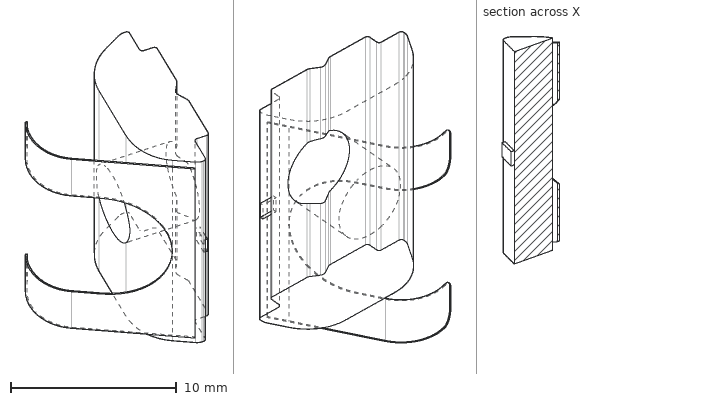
import cadquery as cq
import math

length = 16.0
width = 11.6
body_depth = 4.62
neck_width = 7.92
shoulder_depth = 1.0
nose_flat_width = 4.0
flank_angle = math.radians(60)
flank_start_x = 5.0
corner_radius = 0.2
side_blend_radius = 0.75
hole_diameter = 5.0

groove_half_width = 0.85
groove_depth = groove_half_width * math.tan(math.radians(30))
groove_blend_radius = 0.4

total_depth = 9.8
leaf_thickness = 0.1
leaf_height = 14.98
leaf_root_x = 5.68
bend_start_x = 1.94
tip_angle = math.radians(33)
tip_radius = 0.85
slot_width = 8.48

pad_size = 1.07
pad_height = 0.22
pad_x = 4.9

half_width = width / 2
half_neck = neck_width / 2
half_flat = nose_flat_width / 2
flank_slope = math.tan(flank_angle)
nose_radius = (flank_start_x - half_flat) / math.sin(flank_angle)
flank_start_y = -body_depth + nose_radius * (1 - math.cos(flank_angle))


def flank_y(x):
    """Height in Y of the +X flank plane at a given X."""
    return flank_start_y + (x - flank_start_x) * flank_slope


def round_vertical_edges(solid, points, radius):
    """Fillet the edges parallel to Z that pass through the given XY points."""
    for x, y in points:
        edge = solid.edges(cq.selectors.NearestToPointSelector((x, y, 0)))
        solid = solid.newObject(edge.vals()).fillet(radius)
    return solid


def make_body():
    half_angle = flank_angle / 2
    arc_x = half_flat + nose_radius * math.sin(half_angle)
    arc_y = -body_depth + nose_radius * (1 - math.cos(half_angle))
    side_y = flank_y(half_width)
    body = (
        cq.Workplane("XY")
        .moveTo(-half_flat, -body_depth)
        .lineTo(half_flat, -body_depth)
        .threePointArc((arc_x, arc_y), (flank_start_x, flank_start_y))
        .lineTo(half_width, side_y)
        .lineTo(half_width, -shoulder_depth)
        .lineTo(half_neck, -shoulder_depth)
        .lineTo(half_neck, 0)
        .lineTo(groove_half_width, 0)
        .lineTo(0, -groove_depth)
        .lineTo(-groove_half_width, 0)
        .lineTo(-half_neck, 0)
        .lineTo(-half_neck, -shoulder_depth)
        .lineTo(-half_width, -shoulder_depth)
        .lineTo(-half_width, side_y)
        .lineTo(-flank_start_x, flank_start_y)
        .threePointArc((-arc_x, arc_y), (-half_flat, -body_depth))
        .close()
        .extrude(length / 2, both=True)
    )
    corners = []
    side_corners = []
    groove_edges = [(0, -groove_depth)]
    for side in (-1, 1):
        corners.append((side * half_neck, 0))
        corners.append((side * half_neck, -shoulder_depth))
        corners.append((side * half_width, -shoulder_depth))
        side_corners.append((side * half_width, side_y))
        groove_edges.append((side * groove_half_width, 0))
    body = round_vertical_edges(body, corners, corner_radius)
    body = round_vertical_edges(body, side_corners, side_blend_radius)
    body = round_vertical_edges(body, groove_edges, groove_blend_radius)
    hole = cq.Workplane("XZ").circle(hole_diameter / 2).extrude(body_depth)
    return body.cut(hole)


def make_leaf():
    offset_x = leaf_thickness * math.sin(flank_angle)
    offset_y = -leaf_thickness * math.cos(flank_angle)
    bend_outer_x = bend_start_x + offset_x
    bend_outer_y = flank_y(bend_start_x) + offset_y
    outer_radius = (bend_outer_y + total_depth) / (1 - math.cos(flank_angle))
    inner_radius = outer_radius - leaf_thickness
    center_x = bend_outer_x - outer_radius * math.sin(flank_angle)
    center_y = outer_radius - total_depth

    def bend_point(radius, angle):
        return center_x + radius * math.sin(angle), center_y - radius * math.cos(angle)

    leaf = (
        cq.Workplane("XY")
        .moveTo(leaf_root_x, flank_y(leaf_root_x))
        .lineTo(*bend_point(inner_radius, flank_angle))
        .threePointArc(bend_point(inner_radius, 0), bend_point(inner_radius, -tip_angle))
        .lineTo(*bend_point(outer_radius, -tip_angle))
        .threePointArc(bend_point(outer_radius, 0), bend_point(outer_radius, flank_angle))
        .lineTo(leaf_root_x + offset_x, flank_y(leaf_root_x) + offset_y)
        .close()
        .extrude(leaf_height / 2, both=True)
    )
    tip_x = bend_point(outer_radius, -tip_angle)[0]
    return leaf.cut(make_leaf_slot()).intersect(make_finger_outline(tip_x))


def make_finger_outline(tip_x):
    """Prism along Y with the rounded finger tips, open toward +X."""
    finger_height = (leaf_height - slot_width) / 2
    finger_length = bend_start_x - tip_x
    outline = cq.Workplane("XY").box(
        half_width - bend_start_x, total_depth, leaf_height, centered=(False, False, True)
    ).translate((bend_start_x, -total_depth, 0))
    for side in (-1, 1):
        finger_z = side * (slot_width + finger_height) / 2
        finger = (
            cq.Workplane("XY")
            .box(finger_length, total_depth, finger_height, centered=(False, False, True))
            .edges("|Y and <X")
            .fillet(tip_radius)
            .translate((tip_x, -total_depth, finger_z))
        )
        outline = outline.union(finger)
    return outline


def make_leaf_slot():
    cos_flank = math.cos(flank_angle)
    sin_flank = math.sin(flank_angle)
    end_x = flank_start_x - slot_width / 2 * cos_flank
    plane = cq.Plane(
        origin=(end_x, flank_y(end_x), 0),
        xDir=(cos_flank, sin_flank, 0),
        normal=(sin_flank, -cos_flank, 0),
    )
    half_slot = slot_width / 2
    reach = total_depth
    return (
        cq.Workplane(plane)
        .moveTo(-reach, -half_slot)
        .lineTo(0, -half_slot)
        .threePointArc((half_slot, 0), (0, half_slot))
        .lineTo(-reach, half_slot)
        .close()
        .extrude(reach, both=True)
    )


def make_pad():
    return (
        cq.Workplane("XZ", origin=(pad_x, pad_height - shoulder_depth, 0))
        .rect(pad_size, pad_size)
        .extrude(2 * pad_height)
    )


result = make_body().union(make_leaf()).union(make_pad())